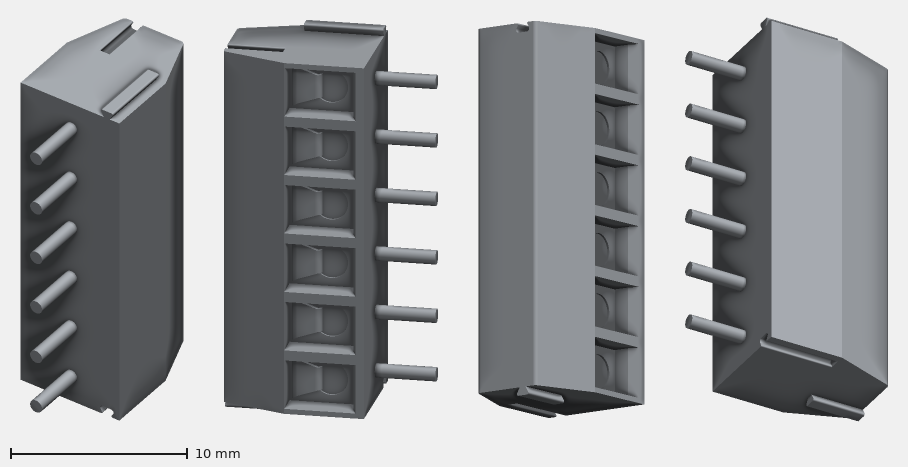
import cadquery as cq
import math


pole_count = 6
pole_pitch = 3.5
body_width = 6.8
body_depth = 8.4
body_height = pole_count * pole_pitch
shoulder_y = 4.6
taper_inset = 1.36
back_corner_radius = 0.25

pin_diameter = 0.82
pin_length = 3.5
pin_x = 3.49

pocket_height = 2.9
pocket_depth = 1.55
pocket_sill_y = 0.49
pocket_floor_y = 0.72
sill_depth = 0.6
wire_hole_diameter = 1.94
wire_hole_y = 2.2
wire_hole_depth = 0.13

guard_bend_radius = 0.38
guard_rise = guard_bend_radius - wire_hole_depth
guard_plateau_back_y = 4.12
guard_plateau_front_y = 3.09
guard_back_reach = math.sqrt(guard_bend_radius**2 - wire_hole_depth**2)
guard_back_y = guard_plateau_back_y + guard_back_reach
guard_tip_y = guard_plateau_front_y - guard_bend_radius
guard_narrow_y = 2.94
guard_back_width = 2.6
guard_plateau_width = 2.16
guard_tip_width = 1.37

dovetail_angle = 60
tongue_height = 0.48
tongue_base_width = 0.41
tongue_tip_radius = 0.1
groove_depth = 0.55
groove_mouth_width = 0.53
groove_tip_radius = 0.17
groove_lip_radius = 0.07
front_joint_x = 5.94
front_joint_length = shoulder_y
back_joint_x = 2.26
back_joint_length = 3.34
back_joint_y = body_depth - back_joint_length

overlap = 0.2


def make_housing():
    housing = (
        cq.Workplane("XY")
        .moveTo(0, 0)
        .lineTo(body_width, 0)
        .lineTo(body_width, shoulder_y)
        .lineTo(body_width - taper_inset, body_depth)
        .lineTo(taper_inset, body_depth)
        .lineTo(0, shoulder_y)
        .close()
        .extrude(body_height)
    )
    return housing.edges("|Z and >Y").fillet(back_corner_radius)


def make_pocket(center_z):
    """Rectangular pocket with a sloping sill, plus its round wire hole."""
    pocket = (
        cq.Workplane("XY", origin=(0, 0, center_z))
        .moveTo(0, pocket_sill_y)
        .lineTo(0, shoulder_y)
        .lineTo(pocket_depth, shoulder_y)
        .lineTo(pocket_depth, pocket_floor_y)
        .lineTo(sill_depth, pocket_floor_y)
        .close()
        .extrude(pocket_height / 2, both=True)
    )
    hole = (
        cq.Workplane("YZ", origin=(pocket_depth - overlap, wire_hole_y, center_z))
        .circle(wire_hole_diameter / 2)
        .extrude(wire_hole_depth + overlap)
    )
    return pocket.union(hole)


def make_wire_guard(center_z):
    """Bent leaf profile, trimmed to its tapered outline."""
    plateau_x = pocket_depth - guard_rise
    bend_center_x = plateau_x + guard_bend_radius
    root_x = bend_center_x + overlap
    bend_offset = guard_bend_radius * math.sqrt(0.5)
    bend_mid_x = bend_center_x - bend_offset
    root_back_y = guard_plateau_back_y + guard_bend_radius
    profile = (
        cq.Workplane("XY", origin=(0, 0, center_z))
        .moveTo(root_x, root_back_y)
        .lineTo(bend_center_x, root_back_y)
        .threePointArc(
            (bend_mid_x, guard_plateau_back_y + bend_offset),
            (plateau_x, guard_plateau_back_y),
        )
        .lineTo(plateau_x, guard_plateau_front_y)
        .threePointArc(
            (bend_mid_x, guard_plateau_front_y - bend_offset),
            (bend_center_x, guard_tip_y),
        )
        .lineTo(root_x, guard_tip_y)
        .close()
        .extrude(pocket_height / 2, both=True)
    )
    outline = (
        cq.Workplane("YZ", origin=(0, 0, center_z))
        .moveTo(guard_tip_y, 0)
        .lineTo(guard_tip_y, guard_tip_width / 2)
        .lineTo(guard_narrow_y, guard_tip_width / 2)
        .lineTo(guard_plateau_back_y, guard_plateau_width / 2)
        .lineTo(guard_back_y, guard_back_width / 2)
        .lineTo(guard_back_y, 0)
        .mirrorX()
        .extrude(root_x)
    )
    return profile.intersect(outline)


def make_pin(center_z):
    return (
        cq.Workplane("XZ", origin=(pin_x, -pin_length, center_z))
        .circle(pin_diameter / 2)
        .extrude(-(pin_length + overlap))
    )


def make_dovetail(narrow_width, height, length, tip_radius):
    """Dovetail bar along +Y from the origin, widening from Z = 0 towards +Z."""
    narrow = narrow_width / 2
    wide = narrow + height / math.tan(math.radians(dovetail_angle))
    bar = (
        cq.Workplane("XZ")
        .polyline([(-narrow, 0), (narrow, 0), (wide, height), (-wide, height)])
        .close()
        .extrude(-length)
    )
    return bar.edges("|Y and >Z").fillet(tip_radius)


def make_tongue(length):
    return make_dovetail(tongue_base_width, tongue_height, length, tongue_tip_radius)


def make_groove(length):
    """Groove cutter, deepening towards +Z, with a slab outside that rounds the lips."""
    groove = make_dovetail(groove_mouth_width, groove_depth, length, groove_tip_radius)
    slab_width = groove_mouth_width + 2 * groove_depth
    slab = cq.Workplane("XY").box(slab_width, length, overlap, centered=(True, False, False))
    cutter = groove.union(slab.translate((0, 0, -overlap)))
    lips = cq.selectors.BoxSelector(
        (-groove_mouth_width, -overlap, -overlap / 2),
        (groove_mouth_width, length + overlap, overlap / 2),
    )
    return cutter.edges("|Y").edges(lips).fillet(groove_lip_radius)


def place_on_end(bar, x, y, z, flipped):
    """Move a dovetail bar to an end face, optionally turned to point to -Z."""
    if flipped:
        bar = bar.rotate((0, 0, 0), (0, 1, 0), 180)
    return bar.translate((x, y, z))


result = make_housing()

for pole in range(pole_count):
    pole_z = (pole + 0.5) * pole_pitch
    result = result.cut(make_pocket(pole_z))
    result = result.union(make_wire_guard(pole_z))
    result = result.union(make_pin(pole_z))

front_groove = make_groove(front_joint_length)
back_groove = make_groove(back_joint_length)
front_tongue = make_tongue(front_joint_length)
back_tongue = make_tongue(back_joint_length)

result = result.cut(place_on_end(front_groove, front_joint_x, 0, 0, False))
result = result.cut(place_on_end(back_groove, back_joint_x, back_joint_y, body_height, True))
result = result.union(place_on_end(front_tongue, front_joint_x, 0, body_height, False))
result = result.union(place_on_end(back_tongue, back_joint_x, back_joint_y, 0, True))